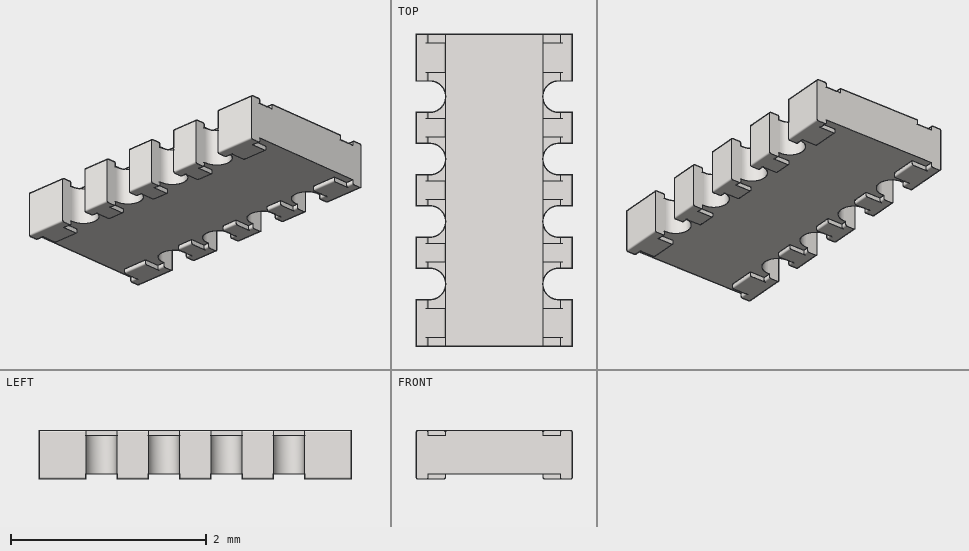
import cadquery as cq

length = 3.2
width = 1.6
height = 0.5

plating = 0.05
wall = 0.12
edge_radius = 0.02
reach = 0.3

notch_count = 4
notch_pitch = 0.64
notch_width = 0.32
notch_depth = 0.3

end_tongue_width = 0.3
middle_tongue_width = 0.192

core_height = height - 2 * plating
core_width = width - 2 * wall
notch_centres = [(i - (notch_count - 1) / 2) * notch_pitch for i in range(notch_count)]


def block(x_start, x_end, y_centre, y_size, z_start, z_size):
    """Box placed by its X range, its Y centre and its lower face."""
    return (
        cq.Workplane("XY", origin=((x_start + x_end) / 2, y_centre, z_start))
        .box(x_end - x_start, y_size, z_size, centered=(True, True, False))
    )


def make_core():
    """Ceramic body with round-ended notches cut in from both long sides."""
    core = block(-core_width / 2, core_width / 2, 0, length, plating, core_height)
    slot_length = 2 * notch_depth
    slots = (
        cq.Workplane("XY")
        .pushPoints([(side * width / 2, y) for side in (-1, 1) for y in notch_centres])
        .slot2D(slot_length, notch_width)
        .extrude(height)
    )
    return core.cut(slots)


def make_terminal(y_start, y_end, tongue_width):
    """Terminal on the -X side: a rounded wall with a tongue above and below the core."""
    y_centre = (y_start + y_end) / 2
    x_outer = -width / 2
    terminal = block(x_outer, x_outer + wall, y_centre, y_end - y_start, 0, height)
    terminal = terminal.edges("|Y").fillet(edge_radius)
    for z_start, free_side in ((0, "<Z"), (height - plating, ">Z")):
        tongue = block(x_outer + wall / 2, x_outer + reach, y_centre, tongue_width, z_start, plating)
        tongue = tongue.faces(">X").edges(free_side).fillet(edge_radius)
        terminal = terminal.union(tongue)
    return terminal


def terminal_spans():
    """Y ranges left between the notches, from one end of the part to the other."""
    starts = [-length / 2] + [y + notch_width / 2 for y in notch_centres]
    ends = [y - notch_width / 2 for y in notch_centres] + [length / 2]
    return list(zip(starts, ends))


cover = block(reach - width / 2, width / 2 - reach, 0, length, height - plating, plating)
result = make_core().union(cover)

for position, (y_start, y_end) in enumerate(terminal_spans()):
    at_end = position in (0, notch_count)
    tongue_width = end_tongue_width if at_end else middle_tongue_width
    terminal = make_terminal(y_start, y_end, tongue_width)
    result = result.union(terminal).union(terminal.mirror("YZ"))